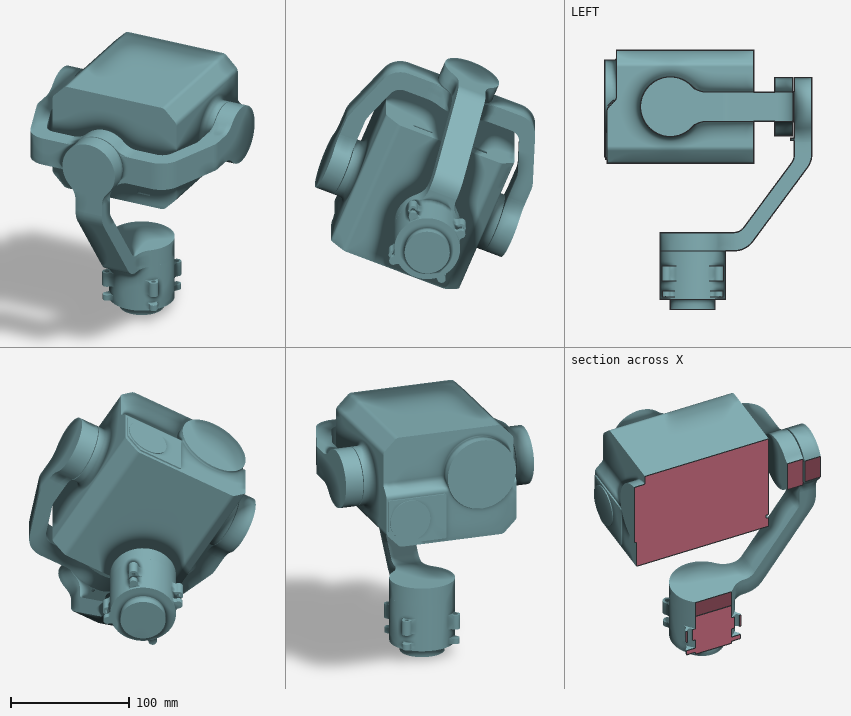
import cadquery as cq
import math


yoke_half_span = 84.7
front_y = 55.8
bottom_z = -171.6

bar_thickness = 15.5
bar_width = 24.8
bar_half_width = bar_width / 2
flare_radius = 17.5
inner_bend_radius = 11.0
slope_width = 13.2

camera_half_width = 58.5
camera_half_height = 47.8
camera_rear_y = -70.7
camera_front_y = 53.5
camera_chamfer = 12.0
camera_edge_radius = 5.0
step_depth = 8.0
step_top_z = 6.4
selection_margin = 0.2
lens_radius = 30.7
lens_root_radius = 1.0
lens_x = -26.5
lens_z = 9.0
plate_thickness = 1.3
plate_left_x = 5.0
plate_right_x = 56.8
plate_corner_radius = 1.3
plate_top_z = -4.8
plate_bottom_z = -44.8
window_radius = 18.0
window_x = 38.0
window_z = -24.5
pitch_hub_radius = 25.2
pitch_gap = 0.7
boss_fillet = 4.0
port_depth = 2.2
port_bottom_z = -38.0
ports = [(-24.8, 17.5, 2.9), (27.7, 11.9, 4.5)]

roll_hub_radius = 24.8
roll_shaft_radius = 12.7
yoke_inner_y = -88.2
yoke_outer_y = yoke_inner_y - bar_thickness
roll_hub_recess = 0.5
yoke_shoulder_y = -47.5
yoke_slope = math.radians(19.5)
yoke_shoulder_radius = 16.5
yoke_corner_radius = 18.9

upright_thickness = 15.1
roll_gap = 0.9
arm_inner_y = yoke_outer_y - roll_gap
arm_outer_y = arm_inner_y - upright_thickness
arm_shoulder_z = -46.3
arm_slope = math.radians(36.5)
arm_outer_bend_radius = 19.8
stop_pin_radius = 1.0
stop_pin_length = 2.9
stop_pin_z = -27.7

base_y = -18.9
base_radius = 27.9
spigot_radius = 19.0
spigot_height = 8.5
collar_height = 15.5
drum_height = 41.0
base_top_z = bottom_z + spigot_height + drum_height
lug_centre_distance = 31.2
lug_count = 4
first_lug_angle = 45
upper_lug_radius = 4.0
upper_lug_height = 12.7
upper_lug_root_radius = 4.0
upper_lug_hole_radius = 2.0
lower_lug_radius = 3.5
lower_lug_height = 5.0
lower_lug_root_radius = 2.9
lower_lug_rise = 2.2


def concave_blend(radius, half_width, blend_radius):
    """Start, middle and end of an arc leading from a round hub (centre at 0, 0)
    onto the straight side of a bar that runs along +u at v = half_width."""
    centre_v = half_width + blend_radius
    reach = radius + blend_radius
    centre_u = math.sqrt(reach**2 - centre_v**2)
    start = (centre_u * radius / reach, centre_v * radius / reach)
    middle_angle = (math.atan2(-centre_v, -centre_u) - math.pi / 2) / 2
    middle = (
        centre_u + blend_radius * math.cos(middle_angle),
        centre_v + blend_radius * math.sin(middle_angle),
    )
    return start, middle, (centre_u, half_width)


def mirrored(point):
    """The point on the other side of the u axis."""
    return point[0], -point[1]


def flared_hub(origin, bar_direction, normal, radius, thickness):
    """Round hub that blends through two concave arcs into a bar."""
    start, middle, end = concave_blend(radius, bar_half_width, flare_radius)
    plane = cq.Plane(origin=origin, xDir=bar_direction, normal=normal)
    return (
        cq.Workplane(plane)
        .moveTo(*end)
        .threePointArc(middle, start)
        .threePointArc((-radius, 0), mirrored(start))
        .threePointArc(mirrored(middle), mirrored(end))
        .close()
        .extrude(thickness)
    )


def flare_reach(radius):
    """Distance from a hub centre to the end of its flares."""
    return concave_blend(radius, bar_half_width, flare_radius)[2][0]


def front_cylinder(x, z, radius, start_y, end_y):
    """Cylinder along Y from start_y to end_y."""
    axis = cq.Vector(0, 1, 0)
    return cq.Workplane(cq.Solid.makeCylinder(radius, end_y - start_y, cq.Vector(x, start_y, z), axis))


def camera_shell():
    """Chamfered box whose upper front is set back behind a 45 degree step."""
    length = camera_front_y - camera_rear_y
    shell = (
        cq.Workplane("XY")
        .box(2 * camera_half_width, length, 2 * camera_half_height)
        .translate((0, camera_rear_y + length / 2, 0))
        .edges("|Y").chamfer(camera_chamfer)
        .edges("|Y").fillet(camera_edge_radius)
    )
    upper_front_y = camera_front_y - step_depth
    side_profile = (
        cq.Workplane("YZ", origin=(-camera_half_width, 0, 0))
        .moveTo(camera_rear_y, -camera_half_height)
        .lineTo(camera_front_y, -camera_half_height)
        .lineTo(camera_front_y, step_top_z - step_depth)
        .lineTo(upper_front_y, step_top_z)
        .lineTo(upper_front_y, camera_half_height)
        .lineTo(camera_rear_y, camera_half_height)
        .close()
        .extrude(2 * camera_half_width)
    )
    step_zone = cq.selectors.BoxSelector(
        (-selection_margin, upper_front_y - selection_margin, step_top_z - step_depth - selection_margin),
        (selection_margin, camera_front_y + selection_margin, step_top_z + selection_margin),
    )
    side_profile = side_profile.edges("|X").edges(step_zone).fillet(camera_edge_radius)
    return shell.intersect(side_profile)


def pitch_boss(side):
    """Round boss on one side wall, with a concave fillet at its root."""
    length = yoke_half_span - bar_thickness - pitch_gap - camera_half_width
    arc_shift = boss_fillet * (1 - math.sqrt(0.5))
    boss = (
        cq.Workplane("XY")
        .lineTo(pitch_hub_radius + boss_fillet, 0)
        .threePointArc((pitch_hub_radius + arc_shift, arc_shift), (pitch_hub_radius, boss_fillet))
        .lineTo(pitch_hub_radius, length)
        .lineTo(0, length)
        .close()
        .revolve(360, (0, 0), (0, 1))
    )
    return boss.rotate((0, 0, 0), (0, 0, 1), -90 * side).translate((side * camera_half_width, 0, 0))


def lens_barrel(shell):
    """Shell with the round lens barrel added and a small concave fillet at its root."""
    hidden_start_y = camera_front_y - 2 * step_depth
    joined = shell.union(front_cylinder(lens_x, lens_z, lens_radius, hidden_start_y, front_y))
    reach = lens_radius + selection_margin
    root_zone = cq.selectors.BoxSelector(
        (lens_x - reach, camera_front_y - step_depth - selection_margin, lens_z - reach),
        (lens_x + reach, camera_front_y + selection_margin, lens_z + reach),
        boundingbox=True,
    )
    return joined.edges(root_zone).fillet(lens_root_radius)


def front_plate():
    """Thin plate beside the lens, on the lower front, with one corner chamfered like the shell."""
    plate = (
        cq.Workplane("XZ", origin=(0, camera_front_y, 0))
        .moveTo(plate_left_x, plate_top_z)
        .lineTo(plate_right_x, plate_top_z)
        .lineTo(plate_right_x, plate_bottom_z + camera_chamfer)
        .lineTo(plate_right_x - camera_chamfer, plate_bottom_z)
        .lineTo(plate_left_x, plate_bottom_z)
        .close()
        .extrude(-plate_thickness)
    )
    return plate.edges("|Y").fillet(plate_corner_radius)


def make_camera():
    camera = lens_barrel(camera_shell())
    for side in (-1, 1):
        camera = camera.union(pitch_boss(side))
    camera = camera.union(front_plate())
    camera = camera.union(front_cylinder(window_x, window_z, window_radius, camera_front_y, front_y))
    for x, width, height in ports:
        port = (
            cq.Workplane("XY")
            .box(width, port_depth, height)
            .translate((x, camera_rear_y + port_depth / 2, port_bottom_z + height / 2))
        )
        camera = camera.cut(port)
    return camera


def yoke_half_bar():
    """The +X half of the bent bar, from the pitch hub to the middle of the back."""
    end_y = -flare_reach(pitch_hub_radius)
    inner_x = yoke_half_span - bar_thickness
    run = math.tan(yoke_slope)
    across = slope_width / math.cos(yoke_slope)
    outer_corner_x = yoke_half_span - run * (yoke_shoulder_y - yoke_outer_y)
    inner_corner_x = yoke_half_span - across - run * (yoke_shoulder_y - yoke_inner_y)
    inner_shoulder_y = yoke_shoulder_y - (bar_thickness - across) / run
    bar = (
        cq.Workplane("XY", origin=(0, 0, -bar_half_width))
        .moveTo(0, yoke_outer_y)
        .lineTo(outer_corner_x, yoke_outer_y)
        .lineTo(yoke_half_span, yoke_shoulder_y)
        .lineTo(yoke_half_span, end_y)
        .lineTo(inner_x, end_y)
        .lineTo(inner_x, inner_shoulder_y)
        .lineTo(inner_corner_x, yoke_inner_y)
        .lineTo(0, yoke_inner_y)
        .close()
        .extrude(bar_width)
    )
    bends = [
        (outer_corner_x, yoke_outer_y, yoke_corner_radius),
        (yoke_half_span, yoke_shoulder_y, yoke_shoulder_radius),
        (inner_x, inner_shoulder_y, yoke_shoulder_radius),
        (inner_corner_x, yoke_inner_y, inner_bend_radius),
    ]
    for x, y, radius in bends:
        bar = bar.edges(cq.selectors.NearestToPointSelector((x, y, 0))).fillet(radius)
    return bar


def make_yoke():
    half_bar = yoke_half_bar()
    yoke = half_bar.union(half_bar.mirror("YZ"))
    hub_face_y = yoke_outer_y + roll_hub_recess
    yoke = yoke.cut(front_cylinder(0, 0, roll_hub_radius, yoke_outer_y, hub_face_y))
    roll_hub_thickness = yoke_inner_y - hub_face_y
    for side in (-1, 1):
        roll_hub = flared_hub(
            (0, yoke_inner_y, 0), (side, 0, 0), (0, -1, 0), roll_hub_radius, roll_hub_thickness
        )
        pitch_hub = flared_hub(
            (side * (yoke_half_span - bar_thickness), 0, 0),
            (0, -1, 0), (side, 0, 0), pitch_hub_radius, bar_thickness,
        )
        yoke = yoke.union(roll_hub).union(pitch_hub)
    roll_shaft = front_cylinder(0, 0, roll_shaft_radius, arm_inner_y, hub_face_y)
    return yoke.union(roll_shaft)


def arm_bar():
    """Bent bar from the roll hub down and forward to the base hub."""
    start_z = -flare_reach(roll_hub_radius)
    end_y = base_y - flare_reach(base_radius)
    top_z = base_top_z + bar_thickness
    run = math.tan(arm_slope)
    across = slope_width / math.cos(arm_slope)
    outer_corner_y = arm_outer_y + run * (arm_shoulder_z - base_top_z)
    inner_corner_y = arm_outer_y + across + run * (arm_shoulder_z - top_z)
    inner_shoulder_z = arm_shoulder_z - (upright_thickness - across) / run
    bar = (
        cq.Workplane("YZ", origin=(-bar_half_width, 0, 0))
        .moveTo(arm_outer_y, start_z)
        .lineTo(arm_outer_y, arm_shoulder_z)
        .lineTo(outer_corner_y, base_top_z)
        .lineTo(end_y, base_top_z)
        .lineTo(end_y, top_z)
        .lineTo(inner_corner_y, top_z)
        .lineTo(arm_inner_y, inner_shoulder_z)
        .lineTo(arm_inner_y, start_z)
        .close()
        .extrude(bar_width)
    )
    bends = [
        (arm_outer_y, arm_shoulder_z, arm_outer_bend_radius),
        (outer_corner_y, base_top_z, arm_outer_bend_radius),
        (inner_corner_y, top_z, inner_bend_radius),
        (arm_inner_y, inner_shoulder_z, inner_bend_radius),
    ]
    for y, z, radius in bends:
        bar = bar.edges(cq.selectors.NearestToPointSelector((0, y, z))).fillet(radius)
    return bar


def make_arm():
    roll_hub = flared_hub((0, arm_inner_y, 0), (0, 0, -1), (0, -1, 0), roll_hub_radius, upright_thickness)
    base_hub = flared_hub((0, base_y, base_top_z), (0, -1, 0), (0, 0, 1), base_radius, bar_thickness)
    stop_pin = front_cylinder(0, stop_pin_z, stop_pin_radius, arm_inner_y, arm_inner_y + stop_pin_length)
    return arm_bar().union(roll_hub).union(base_hub).union(stop_pin)


def lug(radius, root_radius, height, floor_z):
    """Lug along +X of the base axis: round end, concave roots on the drum."""
    start, middle, end = concave_blend(base_radius, radius, root_radius)
    return (
        cq.Workplane("XY", origin=(0, 0, floor_z))
        .lineTo(*mirrored(start))
        .threePointArc(mirrored(middle), mirrored(end))
        .lineTo(lug_centre_distance, -radius)
        .threePointArc((lug_centre_distance + radius, 0), (lug_centre_distance, radius))
        .lineTo(*end)
        .threePointArc(middle, start)
        .close()
        .extrude(height)
    )


def make_base():
    drum_floor_z = bottom_z + spigot_height
    upper_lug_z = drum_floor_z + collar_height
    base = cq.Workplane("XY", origin=(0, 0, bottom_z)).circle(spigot_radius).extrude(spigot_height)
    drum = cq.Workplane("XY", origin=(0, 0, drum_floor_z)).circle(base_radius).extrude(drum_height)
    base = base.union(drum)
    upper_lug = lug(upper_lug_radius, upper_lug_root_radius, upper_lug_height, upper_lug_z)
    screw_hole = (
        cq.Workplane("XY", origin=(lug_centre_distance, 0, upper_lug_z))
        .circle(upper_lug_hole_radius)
        .extrude(upper_lug_height)
    )
    upper_lug = upper_lug.cut(screw_hole)
    lower_lug = lug(
        lower_lug_radius, lower_lug_root_radius, lower_lug_height, drum_floor_z + lower_lug_rise
    )
    for index in range(lug_count):
        angle = first_lug_angle + index * 360 / lug_count
        for shape in (upper_lug, lower_lug):
            base = base.union(shape.rotate((0, 0, 0), (0, 0, 1), angle))
    return base.translate((0, base_y, 0))


camera = make_camera()
yoke = make_yoke()
arm = make_arm()
base = make_base()

result = cq.Compound.makeCompound([camera.val(), yoke.val(), arm.val(), base.val()])